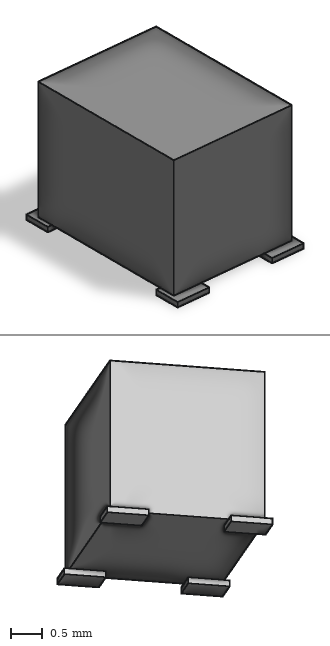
import cadquery as cq

housing_length = 3.2
housing_width = 2.5
housing_height = 2.5

terminal_span_x = 3.57
terminal_span_y = 2.67
terminal_length = 0.51
terminal_width = 0.67
terminal_thickness = 0.1

terminal_offset_x = (terminal_span_x - terminal_length) / 2
terminal_offset_y = (terminal_span_y - terminal_width) / 2


def make_housing():
    """Plain block resting on the top faces of the terminals."""
    block = cq.Workplane("XY").box(
        housing_length, housing_width, housing_height, centered=(True, True, False)
    )
    return block.translate((0, 0, terminal_thickness))


def make_terminal(side_x, side_y):
    """Flat plate at one corner, its underside on Z = 0."""
    plate = cq.Workplane("XY").box(
        terminal_length, terminal_width, terminal_thickness, centered=(True, True, False)
    )
    return plate.translate((side_x * terminal_offset_x, side_y * terminal_offset_y, 0))


housing = make_housing()
terminals = [make_terminal(side_x, side_y) for side_x in (-1, 1) for side_y in (-1, 1)]

result = cq.Compound.makeCompound(
    [housing.val(), *[terminal.val() for terminal in terminals]]
)